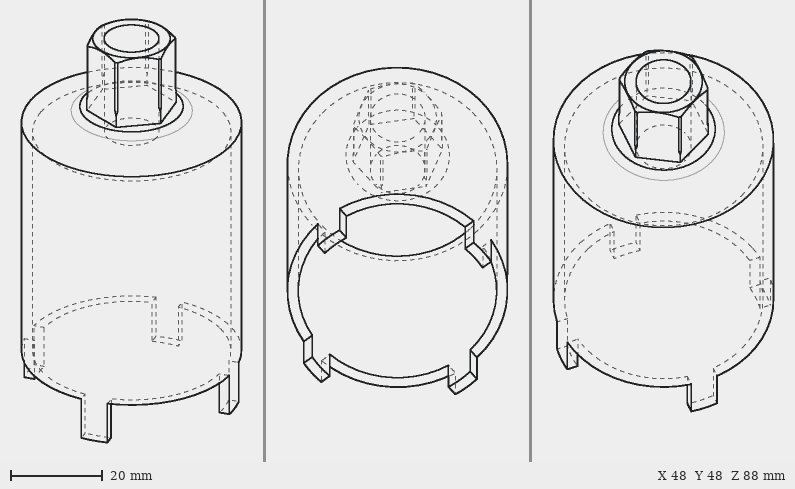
import cadquery as cq
import math

total_height = 88.0
outer_radius = 23.98
wall = 2.4
inner_radius = outer_radius - wall

tooth_height = 9.8
tooth_width = 6.1
tooth_count = 4

shoulder_z = 67.1
hub_z = 71.0
hub_radius = 11.3
cone_top_radius = 13.2
cone_angle = 15.0
cavity_top_z = shoulder_z - wall

bore_diameter = 12.0
hex_flats = 17.1
hex_corner_radius = hex_flats / math.sqrt(3)
trimmed_radius = 9.7
hex_top_radius = 8.45
hex_chamfer_height = 0.9
trim_start_z = hub_z + 2.8
trim_full_z = hub_z + 4.0


def make_body():
    """Revolved barrel, conical shoulder and concave blend up to the hub."""
    slope = math.radians(cone_angle)
    cone_top_z = shoulder_z + (outer_radius - cone_top_radius) * math.tan(slope)
    return (
        cq.Workplane("XZ")
        .lineTo(outer_radius, 0)
        .lineTo(outer_radius, shoulder_z)
        .lineTo(cone_top_radius, cone_top_z)
        .tangentArcPoint((hub_radius, hub_z), relative=False)
        .lineTo(0, hub_z)
        .close()
        .revolve(360, (0, 0), (0, 1))
    )


def make_hexagon():
    """Hexagonal drive with flats facing X, rounded corners and a chamfered top."""
    hexagon = (
        cq.Workplane("XY", origin=(0, 0, hub_z))
        .polygon(6, 2 * hex_corner_radius)
        .extrude(total_height - hub_z)
        .rotate((0, 0, 0), (0, 0, 1), 30)
    )
    envelope = (
        cq.Workplane("XZ")
        .moveTo(0, hub_z)
        .lineTo(hex_corner_radius, hub_z)
        .lineTo(hex_corner_radius, trim_start_z)
        .lineTo(trimmed_radius, trim_full_z)
        .lineTo(trimmed_radius, total_height - hex_chamfer_height)
        .lineTo(hex_top_radius, total_height)
        .lineTo(0, total_height)
        .close()
        .revolve(360, (0, 0), (0, 1))
    )
    return hexagon.intersect(envelope)


def make_gaps():
    """Everything below the barrel rim except the crossed bars that leave the teeth."""
    gaps = cq.Workplane("XY").circle(2 * outer_radius).extrude(tooth_height)
    for index in range(tooth_count):
        bar = (
            cq.Workplane("XY")
            .center(outer_radius, 0)
            .rect(2 * outer_radius, tooth_width)
            .extrude(tooth_height)
            .rotate((0, 0, 0), (0, 0, 1), index * 360 / tooth_count)
        )
        gaps = gaps.cut(bar)
    return gaps


cavity = cq.Workplane("XY").circle(inner_radius).extrude(cavity_top_z)
bore = cq.Workplane("XY").circle(bore_diameter / 2).extrude(total_height)

result = make_body().union(make_hexagon()).cut(cavity).cut(bore).cut(make_gaps())